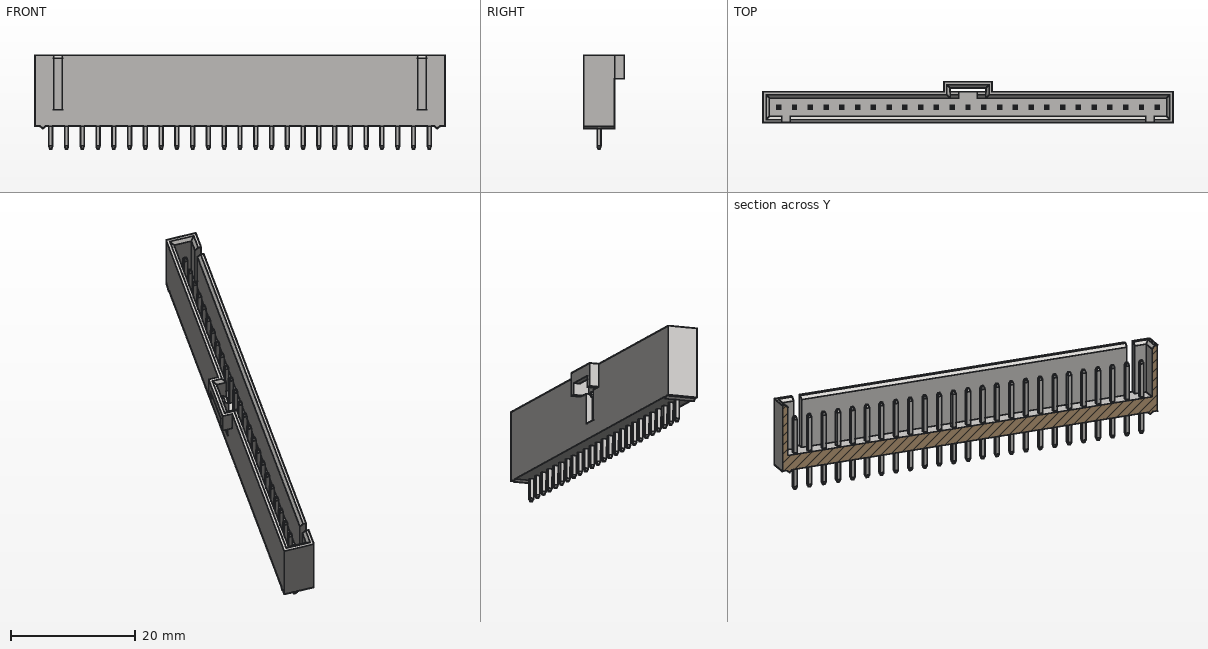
import cadquery as cq

PIN_COUNT = 25
PITCH = 2.54
PIN_SIZE = 0.64
PIN_TAIL = 3.68
PIN_TIP = 0.5
PIN_TIP_INSET = 0.18
PIN_BELOW_RIM = 2.54

LENGTH = (PIN_COUNT + 1) * PITCH
DEPTH = 5.0
HEIGHT = 11.43
WALL = 1.04
CAVITY_DEPTH = 8.77
LEAD_IN = 0.55
LEAD_IN_DEPTH = 0.5

SLOT_WIDTH = 1.4
SLOT_FROM_END = 3.71

LATCH_PROJECTION = 1.6
LATCH_LENGTH = 7.8
LATCH_HEIGHT = 3.8
LATCH_BAR_HEIGHT = 1.9
KEY_WIDTH = 2.9

RIDGE_FROM_END = PITCH / 2
RIDGE_WIDTH = 0.9
RIDGE_HEIGHT = 0.4

FLOOR_Z = HEIGHT - CAVITY_DEPTH
LATCH_Z = HEIGHT - LATCH_HEIGHT
LATCH_BAR_Z = HEIGHT - LATCH_BAR_HEIGHT
BACK_Y = DEPTH / 2
INNER_X = LENGTH / 2 - WALL
INNER_Y = BACK_Y - WALL
WINDOW_X = LATCH_LENGTH / 2 - WALL
LATCH_Y = BACK_Y + LATCH_PROJECTION
WINDOW_Y = LATCH_Y - WALL


def block(x_range, y_range, z_range):
    """Axis-aligned box given by its (low, high) limits."""
    (x0, x1), (y0, y1), (z0, z1) = x_range, y_range, z_range
    return cq.Workplane("XY").box(x1 - x0, y1 - y0, z1 - z0, centered=False).translate((x0, y0, z0))


def frustum(x_half, y_low, y_high, inset, z_start, height):
    """Solid from a rectangle at z_start to one shrunk by inset on each side (grown if negative)."""
    length, depth = 2 * x_half, y_high - y_low
    return (
        cq.Workplane("XY", origin=(0, (y_low + y_high) / 2, z_start))
        .rect(length, depth)
        .workplane(offset=height)
        .rect(length - 2 * inset, depth - 2 * inset)
        .loft(ruled=True)
    )


def make_shell():
    body = block((-LENGTH / 2, LENGTH / 2), (-BACK_Y, BACK_Y), (0, HEIGHT))
    latch = block((-LATCH_LENGTH / 2, LATCH_LENGTH / 2), (BACK_Y, LATCH_Y), (LATCH_Z, HEIGHT))
    return body.union(latch)


def make_cavity():
    """Main cavity joined to the latch window, with a lead-in around both."""
    main = block((-INNER_X, INNER_X), (-INNER_Y, INNER_Y), (FLOOR_Z, HEIGHT))
    window = block((-WINDOW_X, WINDOW_X), (0, WINDOW_Y), (LATCH_Z, HEIGHT))
    lead_in_z = HEIGHT - LEAD_IN_DEPTH
    main_lead_in = frustum(INNER_X, -INNER_Y, INNER_Y, -LEAD_IN, lead_in_z, LEAD_IN_DEPTH)
    window_lead_in = frustum(WINDOW_X, 0, WINDOW_Y, -LEAD_IN, lead_in_z, LEAD_IN_DEPTH)
    return main.union(window).union(main_lead_in).union(window_lead_in)


def make_ledge_chamfer():
    """Lead-in along the inner edge of the back wall at the sill of the latch window."""
    return (
        cq.Workplane("YZ", origin=(-WINDOW_X, 0, 0))
        .moveTo(INNER_Y, LATCH_Z - LEAD_IN_DEPTH)
        .lineTo(INNER_Y + LEAD_IN, LATCH_Z)
        .lineTo(INNER_Y, LATCH_Z)
        .close()
        .extrude(2 * WINDOW_X)
    )


def make_slot(x):
    half = SLOT_WIDTH / 2
    return block((x - half, x + half), (-BACK_Y, -INNER_Y), (FLOOR_Z, HEIGHT))


def make_latch_opening():
    """Gap under the latch crossbar, between the two arms."""
    return block((-WINDOW_X, WINDOW_X), (BACK_Y, LATCH_Y), (LATCH_Z, LATCH_BAR_Z))


def make_keyway():
    return block((-KEY_WIDTH / 2, KEY_WIDTH / 2), (INNER_Y, BACK_Y), (FLOOR_Z, LATCH_Z))


def make_ridge(x):
    """Triangular ridge running across the underside."""
    half = RIDGE_WIDTH / 2
    return (
        cq.Workplane("XZ", origin=(x, BACK_Y, 0))
        .moveTo(-half, 0)
        .lineTo(0, -RIDGE_HEIGHT)
        .lineTo(half, 0)
        .close()
        .extrude(DEPTH)
    )


def make_pin(x):
    """Square pin with a pyramid-shaped tip at both ends."""
    half = PIN_SIZE / 2
    shank_top = HEIGHT - PIN_BELOW_RIM - PIN_TIP
    shank_bottom = PIN_TIP - PIN_TAIL
    shank = block((-half, half), (-half, half), (shank_bottom, shank_top))
    upper_tip = frustum(half, -half, half, PIN_TIP_INSET, shank_top, PIN_TIP)
    lower_tip = frustum(half, -half, half, PIN_TIP_INSET, shank_bottom, -PIN_TIP)
    return shank.union(upper_tip).union(lower_tip).translate((x, 0, 0))


def make_connector():
    part = make_shell()
    for opening in (make_cavity(), make_ledge_chamfer(), make_latch_opening(), make_keyway()):
        part = part.cut(opening)
    for side in (-1, 1):
        part = part.cut(make_slot(side * (LENGTH / 2 - SLOT_FROM_END)))
        part = part.union(make_ridge(side * (LENGTH / 2 - RIDGE_FROM_END)))
    for index in range(PIN_COUNT):
        part = part.union(make_pin((index - (PIN_COUNT - 1) / 2) * PITCH))
    return part


result = make_connector()